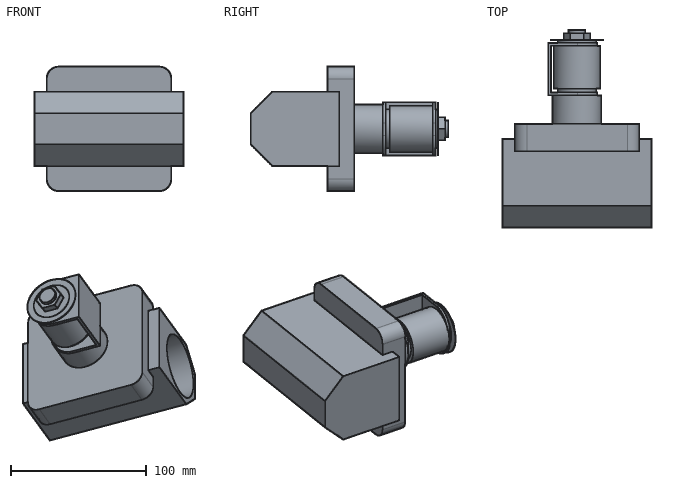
import cadquery as cq

LENGTH = 145.9

block_width = 110.0
block_height = 55.0
block_depth = 65.5
block_chamfer = 16.0
port_diameter = 48.6
port_depth = 18.0
port_y = block_height / 2

flange_size = 92.0
flange_corner_radius = 9.0
flange_thickness = 20.0
flange_back = 76.6
flange_front = flange_back - flange_thickness

bracket_length = 38.8
bracket_height = 39.4
bracket_sheet = 2.2
bracket_left = -21.3
bracket_right = 15.0
bracket_corner_radius = bracket_right
bracket_front = 97.6
bracket_back = bracket_front + bracket_length

neck_radius = 18.1
collar_radius = 14.3
coil_radius = 17.2
washer_radius = 19.4
stud_radius = 6.3
coil_front = 102.5
coil_back = bracket_back - bracket_sheet
washer_thickness = 0.5
nut_height = 5.0
nut_across_corners = 19.8
stud_protrusion = 2.3
nut_back = LENGTH - stud_protrusion
nut_front = nut_back - nut_height
washer_front = nut_front - washer_thickness


def plane_at(y):
    """Plane facing +Y, with its local Y axis along +Z."""
    return cq.Workplane(cq.Plane(origin=(0, y, 0), xDir=(-1, 0, 0), normal=(0, 1, 0)))


def disc(radius, y_start, y_end):
    return plane_at(y_start).circle(radius).extrude(y_end - y_start)


def make_block():
    block = (
        cq.Workplane("XY")
        .box(block_width, block_depth, block_height)
        .translate((0, block_depth / 2, 0))
        .faces("<Y").edges("|X").chamfer(block_chamfer)
    )
    port = (
        cq.Workplane("YZ", origin=(-block_width / 2, 0, 0))
        .center(port_y, 0)
        .circle(port_diameter / 2)
        .extrude(port_depth)
    )
    return block.cut(port)


def make_flange():
    return (
        plane_at(flange_front)
        .rect(flange_size, flange_size)
        .extrude(flange_thickness)
        .edges("|Y").fillet(flange_corner_radius)
    )


def make_stem():
    stem = disc(neck_radius, flange_back, bracket_front)
    stem = stem.union(disc(stud_radius, bracket_front, LENGTH))
    stem = stem.union(disc(collar_radius, bracket_front + bracket_sheet, coil_front))
    stem = stem.union(disc(coil_radius, coil_front, coil_back))
    stem = stem.union(disc(collar_radius, bracket_back, washer_front))
    stem = stem.union(disc(washer_radius, washer_front, nut_front))
    nut = plane_at(nut_front).polygon(6, nut_across_corners).extrude(nut_height)
    return stem.union(nut)


def make_valve():
    return make_block().union(make_flange()).union(make_stem())


def make_bracket():
    width = bracket_right - bracket_left
    inner_length = bracket_length - 2 * bracket_sheet
    outer = (
        cq.Workplane("XY")
        .box(width, bracket_length, bracket_height, centered=(False, False, True))
        .edges("|Y and >X").fillet(bracket_corner_radius)
        .translate((bracket_left, bracket_front, 0))
    )
    opening = (
        cq.Workplane("XY")
        .box(width, inner_length, bracket_height, centered=(False, False, True))
        .translate((bracket_left + bracket_sheet, bracket_front + bracket_sheet, 0))
    )
    stud_hole = disc(stud_radius, bracket_front, bracket_back)
    return outer.cut(opening).cut(stud_hole)


valve = make_valve()
bracket = make_bracket()
result = cq.Compound.makeCompound([valve.val(), bracket.val()])